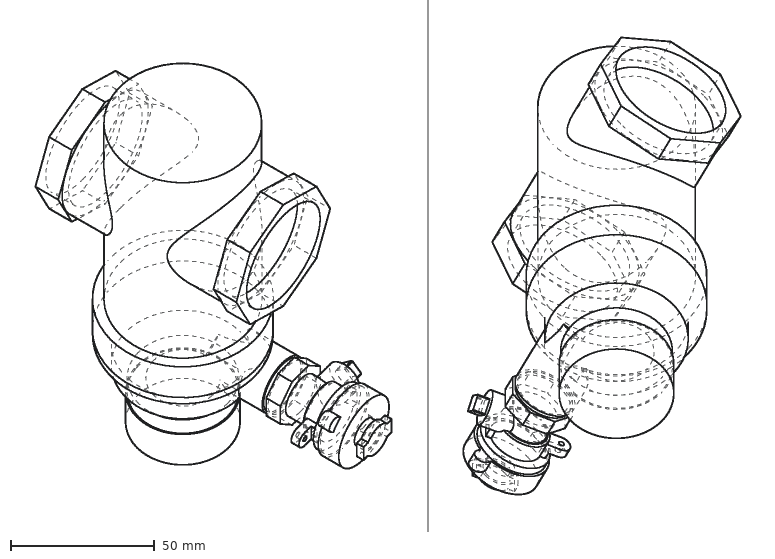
import cadquery as cq
import math

TUBE_DIA = 55.0
TUBE_TOP_Z = 39.8
COLLAR_DIA = 63.0
COLLAR_TOP_Z = -53.8
COLLAR_BOTTOM_Z = -70.2
PORT_DIA = 49.5
PORT_FACE_X = 44.0
PORT_BORE_DIA = 42.4
PORT_BORE_DEPTH = 10.0
PORT_OCTAGON_FLATS = 50.0
PORT_OCTAGON_LENGTH = 10.0

FLANGE_CORNER_Z = -74.0
BOWL_DIA = 50.0
SHOULDER_SLOPE = 25.0
SHOULDER_FILLET = 2.0
SELECTION_MARGIN = 1.0
BOWL_CONE_TOP_Z = -89.0
BOWL_CONE_END_DIA = 26.0

NIPPLE_TOP_Z = -96.0
NIPPLE_NECK_DIA = 39.0
NIPPLE_NECK_LENGTH = 7.2
NIPPLE_DIA = 40.0
NIPPLE_BOTTOM_Z = -119.5

DRAIN_Y = 10.9
DRAIN_Z = -85.2
SPIGOT_DIA = 23.0
SPIGOT_END_X = 35.2

INLET_DIA = 21.3
NUT_START_X = 37.0
NUT_FLATS = 23.0
NUT_END_X = 43.2
VALVE_TUBE_DIA = 17.0
BARREL_START_X = 51.6
BARREL_DIA = 20.0
BARREL_CHAMFER_LENGTH = 0.4
BARREL_CHAMFER_DEPTH = 1.0
BARREL_END_X = 59.1
OUTLET_DIA = 26.9
OUTLET_END_X = 62.0

STEM_X = 50.1
STEM_BOSS_DIA = 13.0
STEM_BOSS_END_Y = 27.0
STEM_KEY_FLATS = 6.0
STEM_KEY_CORNER_DIA = 8.0
STEM_KEY_END_Y = 31.6

BAR_WIDTH = 7.0
BAR_LENGTH = 23.0
EAR_START_X = 53.2
EAR_THICKNESS = 3.4
EAR_REACH = 15.0
EAR_HOLE_DIA = 2.0

CAP_DIA = 29.0
CAP_END_X = 71.0
LUG_WIDTH = 6.0
LUG_REACH = 16.1
LUG_LENGTH = 4.8
KNOB_NECK_DIA = 11.0
KNOB_NECK_END_X = 74.0
KNOB_DIA = 13.0
KNOB_BAR_LENGTH = 16.2
KNOB_END_X = 77.0


def vertical_cylinder(diameter, bottom_z, top_z):
    return cq.Workplane("XY").workplane(offset=bottom_z).circle(diameter / 2).extrude(top_z - bottom_z)


def drain_plane(x):
    """YZ workplane at x with its origin on the drain axis; local x is Y, local y is Z."""
    return cq.Workplane("YZ", origin=(x, DRAIN_Y, DRAIN_Z))


def drain_cylinder(diameter, start_x, end_x):
    return drain_plane(start_x).circle(diameter / 2).extrude(end_x - start_x)


def drain_bar(length, start_x, end_x):
    return drain_plane(start_x).rect(length, BAR_WIDTH).extrude(end_x - start_x)


def octagon_diameter(across_flats):
    """Corner-to-corner diameter of a regular octagon."""
    return across_flats / math.cos(math.pi / 8)


def make_housing():
    body = vertical_cylinder(TUBE_DIA, COLLAR_BOTTOM_Z, TUBE_TOP_Z)
    body = body.union(vertical_cylinder(COLLAR_DIA, COLLAR_BOTTOM_Z, COLLAR_TOP_Z))
    body = body.union(
        cq.Workplane("YZ").workplane(offset=-PORT_FACE_X).circle(PORT_DIA / 2).extrude(2 * PORT_FACE_X)
    )
    for face_x, inward in ((-PORT_FACE_X, 1), (PORT_FACE_X, -1)):
        face = cq.Workplane("YZ").workplane(offset=face_x)
        octagon = face.polygon(8, octagon_diameter(PORT_OCTAGON_FLATS)).extrude(inward * PORT_OCTAGON_LENGTH)
        bore = face.circle(PORT_BORE_DIA / 2).extrude(inward * PORT_BORE_DEPTH)
        body = body.union(octagon).cut(bore)
    return body


def make_bowl(nipple):
    """Bowl with its drain spigot, relieved where the spigot would reach into the nipple."""
    flange_radius = COLLAR_DIA / 2
    bowl_radius = BOWL_DIA / 2
    shoulder_drop = (flange_radius - bowl_radius) * math.tan(math.radians(SHOULDER_SLOPE))
    shoulder_bottom_z = FLANGE_CORNER_Z - shoulder_drop
    body = (
        cq.Workplane("XZ")
        .moveTo(0, COLLAR_BOTTOM_Z)
        .lineTo(flange_radius, COLLAR_BOTTOM_Z)
        .lineTo(flange_radius, FLANGE_CORNER_Z)
        .lineTo(bowl_radius, shoulder_bottom_z)
        .lineTo(bowl_radius, BOWL_CONE_TOP_Z)
        .lineTo(BOWL_CONE_END_DIA / 2, NIPPLE_TOP_Z)
        .lineTo(0, NIPPLE_TOP_Z)
        .close()
        .revolve(360, (0, 0, 0), (0, 1, 0))
    )
    shoulder_edges = cq.selectors.BoxSelector(
        (-COLLAR_DIA, -COLLAR_DIA, shoulder_bottom_z - SELECTION_MARGIN),
        (COLLAR_DIA, COLLAR_DIA, FLANGE_CORNER_Z + SELECTION_MARGIN),
        boundingbox=True,
    )
    body = body.edges(shoulder_edges).fillet(SHOULDER_FILLET)
    return body.union(drain_cylinder(SPIGOT_DIA, 0, SPIGOT_END_X)).cut(nipple)


def make_nipple():
    neck_bottom_z = NIPPLE_TOP_Z - NIPPLE_NECK_LENGTH
    neck = vertical_cylinder(NIPPLE_NECK_DIA, neck_bottom_z, NIPPLE_TOP_Z)
    return neck.union(vertical_cylinder(NIPPLE_DIA, NIPPLE_BOTTOM_Z, neck_bottom_z))


def make_stem():
    """Round boss rising from the valve tube, ending in a square key with trimmed corners."""
    axis_plane = cq.Workplane("XZ", origin=(STEM_X, DRAIN_Y, DRAIN_Z))
    boss = axis_plane.circle(STEM_BOSS_DIA / 2).extrude(DRAIN_Y - STEM_BOSS_END_Y)
    key_length = STEM_KEY_END_Y - DRAIN_Y
    diagonal_plane = axis_plane.transformed(rotate=(0, 0, 45))
    square = diagonal_plane.rect(STEM_KEY_FLATS, STEM_KEY_FLATS).extrude(-key_length)
    key = square.intersect(axis_plane.circle(STEM_KEY_CORNER_DIA / 2).extrude(-key_length))
    return boss.union(key)


def make_ear():
    """Chain ear on the -Y side, with a rounded end and a hole along X."""
    plane = drain_plane(EAR_START_X)
    plate = plane.center(-EAR_REACH / 2, 0).rect(EAR_REACH, BAR_WIDTH).extrude(EAR_THICKNESS)
    rounded_end = plane.center(-EAR_REACH, 0).circle(BAR_WIDTH / 2).extrude(EAR_THICKNESS)
    hole = plane.center(-EAR_REACH, 0).circle(EAR_HOLE_DIA / 2).extrude(EAR_THICKNESS)
    return plate.union(rounded_end).cut(hole)


def make_valve():
    nut = (
        drain_plane(NUT_START_X)
        .transformed(rotate=(0, 0, 22.5))
        .polygon(8, octagon_diameter(NUT_FLATS))
        .extrude(NUT_END_X - NUT_START_X)
    )
    barrel_face_dia = BARREL_DIA - 2 * BARREL_CHAMFER_DEPTH
    barrel_rim_x = BARREL_START_X + BARREL_CHAMFER_LENGTH
    barrel_lead_in = (
        drain_plane(BARREL_START_X)
        .circle(barrel_face_dia / 2)
        .workplane(offset=BARREL_CHAMFER_LENGTH)
        .circle(BARREL_DIA / 2)
        .loft(ruled=True)
    )
    barrel = barrel_lead_in.union(drain_cylinder(BARREL_DIA, barrel_rim_x, BARREL_END_X))
    body = drain_cylinder(INLET_DIA, SPIGOT_END_X, NUT_START_X)
    body = body.union(nut)
    body = body.union(drain_cylinder(VALVE_TUBE_DIA, NUT_END_X, BARREL_START_X))
    body = body.union(barrel)
    body = body.union(drain_cylinder(OUTLET_DIA, BARREL_END_X, OUTLET_END_X))
    body = body.union(drain_bar(BAR_LENGTH, EAR_START_X, BARREL_END_X))
    return body.union(make_ear()).union(make_stem())


def make_cap():
    body = drain_cylinder(CAP_DIA, OUTLET_END_X, CAP_END_X)
    for lug_angle in (-45, 135):
        plane = drain_plane(OUTLET_END_X).transformed(rotate=(0, 0, lug_angle))
        neck = plane.center(LUG_REACH / 2, 0).rect(LUG_REACH, LUG_WIDTH).extrude(LUG_LENGTH)
        rounded_end = plane.center(LUG_REACH, 0).circle(LUG_WIDTH / 2).extrude(LUG_LENGTH)
        body = body.union(neck).union(rounded_end)
    body = body.union(drain_cylinder(KNOB_NECK_DIA, CAP_END_X, KNOB_NECK_END_X))
    body = body.union(drain_cylinder(KNOB_DIA, KNOB_NECK_END_X, KNOB_END_X))
    return body.union(drain_bar(KNOB_BAR_LENGTH, KNOB_NECK_END_X, KNOB_END_X))


housing = make_housing()
nipple = make_nipple()
bowl = make_bowl(nipple)
valve = make_valve()
cap = make_cap()

result = cq.Compound.makeCompound([housing.val(), bowl.val(), nipple.val(), valve.val(), cap.val()])